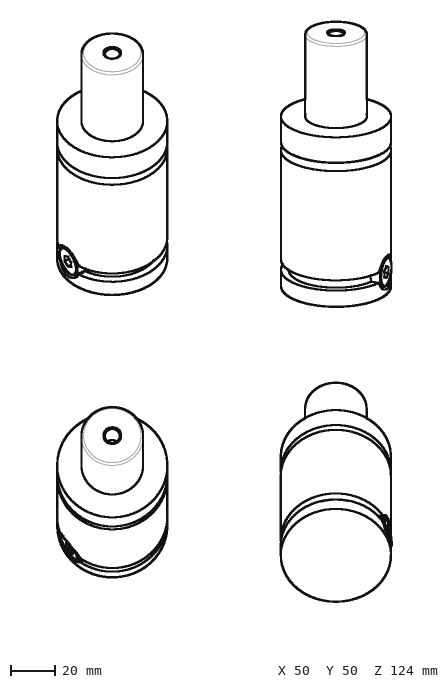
import cadquery as cq
import math

body_diameter = 50.0
body_height = 83.0
body_radius = body_diameter / 2

rod_diameter = 28.0
total_height = 124.0
rod_edge_fillet = 1.0

tap_drill_diameter = 6.8
tap_mouth_diameter = 8.0
tap_depth = 16.0
drill_point_angle = 118.0

round_groove_radius = 2.0
round_groove_height = 68.45

clamp_groove_bottom = 8.0
clamp_groove_width = 5.0
clamp_groove_diameter = 43.0

port_height = clamp_groove_bottom + clamp_groove_width / 2
port_diameter = 16.0
port_floor_distance = 19.0
plug_diameter = 14.0
plug_face_distance = 24.5
plug_edge_chamfer = 0.5
hex_across_flats = 5.0
hex_depth = 4.0


def cylinder(diameter, bottom, top):
    """Cylinder about the Z axis between two heights."""
    return cq.Workplane("XY").workplane(offset=bottom).circle(diameter / 2).extrude(top - bottom)


def port_plane(distance):
    """Work plane on the port axis, facing -Y, at a distance from the body axis."""
    return cq.Workplane("XZ", origin=(0, -distance, port_height))


def make_rod():
    rod = cylinder(rod_diameter, body_height, total_height)
    return rod.faces(">Z").fillet(rod_edge_fillet)


def make_tapped_hole():
    """Blind drilled hole with a conical bottom and a 45 degree countersunk mouth."""
    drill_radius = tap_drill_diameter / 2
    mouth_radius = tap_mouth_diameter / 2
    mouth_depth = mouth_radius - drill_radius
    point_depth = drill_radius / math.tan(math.radians(drill_point_angle / 2))
    hole_bottom = total_height - tap_depth
    return (
        cq.Workplane("XZ")
        .moveTo(0, total_height)
        .lineTo(mouth_radius, total_height)
        .lineTo(drill_radius, total_height - mouth_depth)
        .lineTo(drill_radius, hole_bottom)
        .lineTo(0, hole_bottom - point_depth)
        .close()
        .revolve(360, (0, 0, 0), (0, 1, 0))
    )


def make_round_groove():
    return cq.Workplane(
        obj=cq.Solid.makeTorus(body_radius, round_groove_radius, cq.Vector(0, 0, round_groove_height))
    )


def make_clamp_groove():
    clamp_groove_top = clamp_groove_bottom + clamp_groove_width
    ring = cylinder(body_diameter, clamp_groove_bottom, clamp_groove_top)
    return ring.cut(cylinder(clamp_groove_diameter, clamp_groove_bottom, clamp_groove_top))


def make_port():
    return port_plane(port_floor_distance).circle(port_diameter / 2).extrude(body_radius - port_floor_distance)


def make_plug():
    """Round plug standing on the port floor, with a hexagon socket in its face."""
    plug = (
        port_plane(port_floor_distance)
        .circle(plug_diameter / 2)
        .extrude(plug_face_distance - port_floor_distance)
        .faces("<Y")
        .chamfer(plug_edge_chamfer)
    )
    hex_across_corners = hex_across_flats / math.cos(math.radians(30))
    socket = (
        port_plane(plug_face_distance)
        .transformed(rotate=(0, 0, 90))
        .polygon(6, hex_across_corners)
        .extrude(-hex_depth)
    )
    return plug.cut(socket)


body = cylinder(body_diameter, 0, body_height)
body = body.cut(make_round_groove()).cut(make_clamp_groove()).cut(make_port())
result = body.union(make_plug()).union(make_rod()).cut(make_tapped_hole())